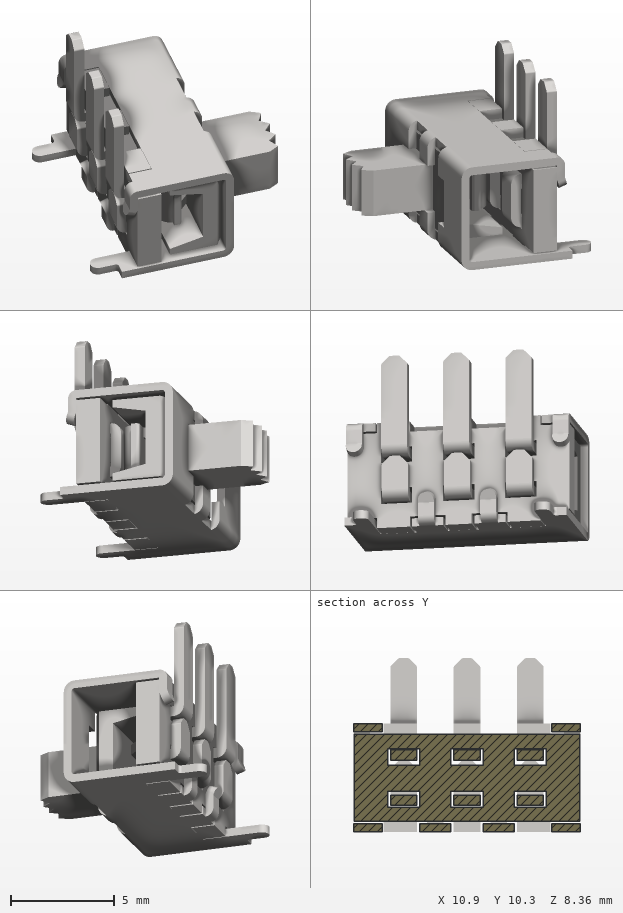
import cadquery as cq
import math


LENGTH = 10.92

OVERLAP = 0.01

CASE_HEIGHT = 5.22
SHEET = 0.4
CASE_BACK = 4.88
BEND_RADIUS = 0.55
INNER_BEND_RADIUS = 0.14
MID_Z = CASE_HEIGHT / 2
INNER_BACK = CASE_BACK - SHEET
EDGE_NOTCH_WIDTH = 8.15
EDGE_NOTCH_DEPTH = 1.17

OPENING_WIDTH = 5.9
OPENING_HEIGHT = 2.38
RELIEF_CENTRE = 1.34
RELIEF_WIDTH = 1.55
RELIEF_FRONT = 4.45

TAB_WIDTH = 0.79
TAB_CREASE = 1.06
TAB_TILT = 20.0
FLAP_LENGTH = 0.5
UPPER_TAB_X = (LENGTH - TAB_WIDTH) / 2
LOWER_TAB_X = 1.53
TONGUE_WIDTH = 1.53

LUG_PLATE_REACH = 0.8
LUG_REACH = 2.07
LUG_WIDTH = 0.76
LUG_FILLET = 0.14

BASE_LENGTH = 10.9
BASE_DEPTH = 1.2
BASE_BOTTOM = 0.5
BLOCK_DEPTH = 1.16
BLOCK_OUTER_X = 4.01
BLOCK_INNER_X = 2.4
CENTRE_BLOCK_WIDTH = 1.28

PITCH = 3.05
TERMINAL_COUNT = 3
TERMINAL_WIDTH = 1.28
TERMINAL_THICKNESS = 0.51
TERMINAL_BACK = 1.71
UPPER_LEG_BOTTOM = 3.45
LOWER_LEG_BOTTOM = 1.27
UPPER_PIN_FRONT = -0.62
LOWER_PIN_FRONT = -0.47
UPPER_PIN_TOP = 8.36
LOWER_PIN_TOP = 3.44
TIP_CHAMFER = 0.39
TIP_ROUNDING = 0.11
WINDOW_WIDTH = 1.53
WINDOW_HEIGHT = 0.76
UPPER_WINDOW_BOTTOM = 3.22
LOWER_WINDOW_BOTTOM = 1.19

SLIDER_X = 1.33
SLIDER_LENGTH = 7.64
SLIDER_HEIGHT = 4.06
SLIDER_WEB_FRONT = 3.42
SLIDER_ARM_FRONT = 1.74
ARM_ROOT_GAP = 2.68
ARM_TIP_GAP = 3.34
END_CHAMFER_X = 0.55
END_CHAMFER_Y = 0.34
KNOB_HEIGHT = 2.32
KNOB_HALF_WIDTH = 1.59
KNOB_SHOULDER = 7.53
KNOB_TEETH = [(-1.31, 8.05), (-0.79, 7.75), (-0.43, 8.21), (0, 7.82), (0.43, 8.21), (0.79, 7.75), (1.31, 8.05)]

CONTACT_Z = 2.55
CONTACT_HEIGHT = 2.36
CONTACT_LENGTH = 5.02
CONTACT_FRONT = 2.33
CONTACT_BACK = 2.72
CONTACT_CHAMFER = 0.11
CONTACT_BUMP_RADIUS = 0.76
BUMP_TIP = 1.7
BUMPS_X = (0, PITCH)
POST_WIDTH = 1.09
POST_HEIGHT = 1.07
NECK_HEIGHT = 0.85
NECK_BACK = 3.06
WALL_LENGTH = 3.93
WALL_HEIGHT = 0.51


def block(x_range, y_range, z_range):
    """Box given by its lower and upper limits along each axis."""
    (x0, x1), (y0, y1), (z0, z1) = x_range, y_range, z_range
    return cq.Workplane("XY").box(x1 - x0, y1 - y0, z1 - z0, centered=False).translate((x0, y0, z0))


def centred(middle, size):
    """Limits of a span of the given size about its middle."""
    return middle - size / 2, middle + size / 2


def flip_z(body):
    """Mirror a body about the mid-height of the case."""
    return body.mirror("XY", (0, 0, MID_Z))


def flip_x(body):
    """Mirror a body about the mid-length of the case."""
    return body.mirror("YZ")


def make_shell():
    """Channel open at the front and at both ends, with its notches."""
    outer = block(centred(0, LENGTH), (0, CASE_BACK), (0, CASE_HEIGHT))
    outer = outer.edges("|X and >Y").fillet(BEND_RADIUS)
    cavity = block(centred(0, LENGTH), (0, INNER_BACK), (SHEET, CASE_HEIGHT - SHEET))
    cavity = cavity.edges("|X and >Y").fillet(INNER_BEND_RADIUS)
    shell = outer.cut(cavity)

    full_height = (0, CASE_HEIGHT)
    shell = shell.cut(block(centred(0, EDGE_NOTCH_WIDTH), (0, EDGE_NOTCH_DEPTH), full_height))
    for side in (-1, 1):
        relief_x = centred(side * RELIEF_CENTRE, RELIEF_WIDTH)
        shell = shell.cut(block(relief_x, (RELIEF_FRONT, CASE_BACK), full_height))
    opening_z = centred(MID_Z, OPENING_HEIGHT)
    return shell.cut(block(centred(0, OPENING_WIDTH), (INNER_BACK, CASE_BACK), opening_z))


def make_upper_tab(x):
    """Tab folded down over the base, its round end tilted away from the base."""
    inner_top = CASE_HEIGHT - SHEET
    crease_z = CASE_HEIGHT - TAB_CREASE
    tilt = math.radians(TAB_TILT)
    leg = (
        cq.Workplane("YZ")
        .moveTo(0, CASE_HEIGHT)
        .radiusArc((-SHEET, inner_top), -SHEET)
        .lineTo(-SHEET, crease_z)
        .lineTo(SHEET * (math.cos(tilt) - 1), crease_z - SHEET * math.sin(tilt))
        .lineTo(0, crease_z - SHEET * math.tan(tilt / 2))
        .close()
        .extrude(TAB_WIDTH / 2, both=True)
    )
    radius = TAB_WIDTH / 2
    flap = (
        cq.Workplane("XZ", origin=(0, 0, crease_z))
        .moveTo(-radius, 0)
        .lineTo(radius, 0)
        .lineTo(radius, radius - FLAP_LENGTH)
        .threePointArc((0, -FLAP_LENGTH), (-radius, radius - FLAP_LENGTH))
        .close()
        .extrude(SHEET)
    )
    flap = flap.rotate((0, -SHEET, crease_z), (1, -SHEET, crease_z), -TAB_TILT)
    return leg.union(flap).translate((x, 0, 0))


def make_lower_tab(x):
    """Floor tongue ending in an upward clinch tab."""
    tongue = block(centred(x, TONGUE_WIDTH), (0, EDGE_NOTCH_DEPTH), (0, SHEET))
    return tongue.union(flip_z(make_upper_tab(x)))


def make_lug():
    """Mounting lug in the plane of the floor at the -X end."""
    inner_x = -EDGE_NOTCH_WIDTH / 2
    outer_x = inner_x - LUG_WIDTH
    radius = LUG_WIDTH / 2
    lug = (
        cq.Workplane("XY")
        .moveTo(-LENGTH / 2, 0)
        .lineTo(-LENGTH / 2, -LUG_PLATE_REACH)
        .lineTo(outer_x, -LUG_PLATE_REACH)
        .lineTo(outer_x, radius - LUG_REACH)
        .threePointArc((outer_x + radius, -LUG_REACH), (inner_x, radius - LUG_REACH))
        .lineTo(inner_x, 0)
        .close()
        .extrude(SHEET)
    )
    return lug.edges(cq.NearestToPointSelector((outer_x, -LUG_PLATE_REACH, SHEET / 2))).fillet(LUG_FILLET)


def make_case():
    case = make_shell()
    lug = make_lug()
    case = case.union(lug).union(flip_x(lug))
    for side in (-1, 1):
        case = case.union(make_upper_tab(side * UPPER_TAB_X))
        case = case.union(make_lower_tab(side * LOWER_TAB_X))
    return case


def terminal_positions():
    return [(i - (TERMINAL_COUNT - 1) / 2) * PITCH for i in range(TERMINAL_COUNT)]


def make_base():
    """Insulating plate with blocks in the case notches and terminal windows."""
    base = block(centred(0, BASE_LENGTH), (0, BASE_DEPTH), (BASE_BOTTOM, CASE_HEIGHT - BASE_BOTTOM))
    block_spans = [
        (-BLOCK_OUTER_X, -BLOCK_INNER_X),
        centred(0, CENTRE_BLOCK_WIDTH),
        (BLOCK_INNER_X, BLOCK_OUTER_X),
    ]
    for span in block_spans:
        base = base.union(block(span, (0, BLOCK_DEPTH), (0, CASE_HEIGHT)))
    for x in terminal_positions():
        for bottom in (UPPER_WINDOW_BOTTOM, LOWER_WINDOW_BOTTOM):
            window_z = (bottom, bottom + WINDOW_HEIGHT)
            base = base.cut(block(centred(x, WINDOW_WIDTH), (0, BASE_DEPTH), window_z))
    return base


def make_pin(front, leg_bottom, tip):
    """Upright pin with a chamfered tip and a leg bent back towards the slider."""
    width_x = centred(0, TERMINAL_WIDTH)
    pin = block(width_x, (front, front + TERMINAL_THICKNESS), (leg_bottom, tip))
    pin = pin.faces(">Z").edges("|Y").chamfer(TIP_CHAMFER)
    corner_z = tip - TIP_CHAMFER - TIP_ROUNDING
    tip_zone = cq.selectors.BoxSelector(
        (-TERMINAL_WIDTH, front - 0.11, corner_z),
        (TERMINAL_WIDTH, front + TERMINAL_THICKNESS + 0.11, tip + 0.11),
    )
    pin = pin.edges("|Y").edges(tip_zone).fillet(TIP_ROUNDING)
    leg_back = TERMINAL_BACK - TERMINAL_THICKNESS
    leg = block(width_x, (front, leg_back), (leg_bottom, leg_bottom + TERMINAL_THICKNESS))
    bend_radius = TERMINAL_THICKNESS - OVERLAP
    return pin.union(leg).edges("|X and <Y and <Z").fillet(bend_radius)


def make_terminal():
    upper = make_pin(UPPER_PIN_FRONT, UPPER_LEG_BOTTOM, UPPER_PIN_TOP)
    lower = make_pin(LOWER_PIN_FRONT, LOWER_LEG_BOTTOM, LOWER_PIN_TOP)
    plate_z = (LOWER_LEG_BOTTOM, UPPER_LEG_BOTTOM + TERMINAL_THICKNESS)
    plate_front = TERMINAL_BACK - TERMINAL_THICKNESS - OVERLAP
    plate = block(centred(0, TERMINAL_WIDTH), (plate_front, TERMINAL_BACK), plate_z)
    plate = plate.edges("|X and >Y").fillet(TERMINAL_THICKNESS)
    return plate.union(upper).union(lower)


def make_slider():
    """C-section carrier with tapered arms and bevelled rear end corners."""
    half_height = SLIDER_HEIGHT / 2
    section = [
        (INNER_BACK, half_height),
        (SLIDER_ARM_FRONT, half_height),
        (SLIDER_ARM_FRONT, ARM_TIP_GAP / 2),
        (SLIDER_WEB_FRONT, ARM_ROOT_GAP / 2),
        (SLIDER_WEB_FRONT, -ARM_ROOT_GAP / 2),
        (SLIDER_ARM_FRONT, -ARM_TIP_GAP / 2),
        (SLIDER_ARM_FRONT, -half_height),
        (INNER_BACK, -half_height),
    ]
    half_length = SLIDER_LENGTH / 2
    carrier = cq.Workplane("YZ").polyline(section).close().extrude(half_length, both=True)
    bevel = (
        cq.Workplane("XY")
        .moveTo(-half_length, INNER_BACK)
        .lineTo(-half_length, INNER_BACK - END_CHAMFER_Y)
        .lineTo(END_CHAMFER_X - half_length, INNER_BACK)
        .close()
        .extrude(half_height, both=True)
    )
    carrier = carrier.cut(bevel).cut(flip_x(bevel))
    return carrier.translate((SLIDER_X, 0, MID_Z))


def make_knob():
    """Knob with a serrated thumb face."""
    outline = [
        (-KNOB_HALF_WIDTH, INNER_BACK - OVERLAP),
        (-KNOB_HALF_WIDTH, KNOB_SHOULDER),
        *KNOB_TEETH,
        (KNOB_HALF_WIDTH, KNOB_SHOULDER),
        (KNOB_HALF_WIDTH, INNER_BACK - OVERLAP),
    ]
    knob = cq.Workplane("XY").polyline(outline).close().extrude(KNOB_HEIGHT / 2, both=True)
    return knob.translate((SLIDER_X, 0, MID_Z))


def make_contact():
    """Contact plate with two round bumps, carried by a necked post and two bevelled walls."""
    height_z = centred(CONTACT_Z, CONTACT_HEIGHT)
    bumps_middle = sum(BUMPS_X) / len(BUMPS_X)
    plate = block(centred(bumps_middle, CONTACT_LENGTH), (CONTACT_FRONT, CONTACT_BACK), height_z)
    contact = plate.edges("|Z and >Y").chamfer(CONTACT_CHAMFER)
    for x in BUMPS_X:
        bump = cq.Workplane("XY").circle(CONTACT_BUMP_RADIUS).extrude(CONTACT_HEIGHT / 2, both=True)
        bump = bump.translate((x, BUMP_TIP + CONTACT_BUMP_RADIUS, CONTACT_Z))
        front_zone = block(centred(x, 2 * CONTACT_BUMP_RADIUS), (BUMP_TIP, CONTACT_BACK), height_z)
        contact = contact.union(bump.intersect(front_zone))

    wall_back = SLIDER_WEB_FRONT + OVERLAP
    post_x = centred(SLIDER_X, POST_WIDTH)
    contact = contact.union(block(post_x, (CONTACT_FRONT, wall_back), centred(CONTACT_Z, NECK_HEIGHT)))
    contact = contact.union(block(post_x, (NECK_BACK, wall_back), centred(CONTACT_Z, POST_HEIGHT)))

    half_length = WALL_LENGTH / 2
    back_half_length = half_length - (wall_back - CONTACT_BACK)
    wall = (
        cq.Workplane("XY")
        .moveTo(-half_length, CONTACT_FRONT)
        .lineTo(-half_length, CONTACT_BACK)
        .lineTo(-back_half_length, wall_back)
        .lineTo(back_half_length, wall_back)
        .lineTo(half_length, CONTACT_BACK)
        .lineTo(half_length, CONTACT_FRONT)
        .close()
        .extrude(WALL_HEIGHT)
    )
    lower_z, upper_z = height_z[0], height_z[1] - WALL_HEIGHT
    for bottom in (lower_z, upper_z):
        contact = contact.union(wall.translate((SLIDER_X, 0, bottom)))
    return contact


result = make_case().union(make_base())
terminal = make_terminal()
for terminal_x in terminal_positions():
    result = result.union(terminal.translate((terminal_x, 0, 0)))
for moving_part in (make_slider(), make_contact(), make_knob()):
    result = result.union(moving_part)